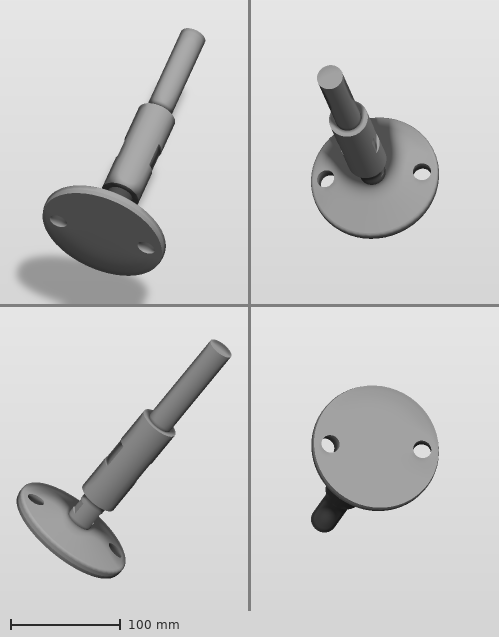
import cadquery as cq
import math

total_length = 237.0
sole_y = -total_length / 2
rod_end_y = total_length / 2

foot_radius = 118.0 / 2
sole_radius = 58.0
lower_rim_y = sole_y + 3.5
shoulder_y = sole_y + 9.5
cone_top_y = sole_y + 17.3
shoulder_fillet = 2.8

hole_diameter = 16.5
hole_offset = 42.7
hole_cutter_length = 47.5

rod_diameter = 24.0
rod_radius = rod_diameter / 2
sleeve_diameter = 36.0
sleeve_length = 95.3
sleeve_start_y = sole_y + 46.7

rod_flat_width = 19.0
rod_flat_length = 12.8
rod_flat_start_y = sole_y + 24.0
sleeve_flat_width = 30.3
sleeve_flat_length = 25.0
sleeve_flat_start_y = sleeve_start_y + (sleeve_length - sleeve_flat_length) / 2


def cylinder_along_y(diameter, start_y, length):
    """Cylinder on the rod axis, from start_y toward +Y."""
    return cq.Workplane("XZ", origin=(0, start_y, 0)).circle(diameter / 2).extrude(-length)


def cut_wrench_flats(body, diameter, width, start_y, length):
    """Cut two flats facing -X and +X, leaving the given width across them."""
    depth = (diameter - width) / 2
    for side in (-1, 1):
        center = (side * (width + depth) / 2, start_y + length / 2, 0)
        body = body.cut(cq.Workplane("XY", origin=center).box(depth, length, diameter))
    return body


def make_foot_plate():
    """Revolved disc with a tapered lower rim, a rounded shoulder and a conical back."""
    disc = (
        cq.Workplane("XY")
        .moveTo(0, sole_y)
        .lineTo(sole_radius, sole_y)
        .lineTo(foot_radius, lower_rim_y)
        .lineTo(foot_radius, shoulder_y)
        .lineTo(rod_radius, cone_top_y)
        .lineTo(0, cone_top_y)
        .close()
        .revolve(360, (0, 0, 0), (0, 1, 0))
    )
    return disc.edges(cq.selectors.RadiusNthSelector(-1)).edges(">Y").fillet(shoulder_fillet)


def drill_mounting_holes(body):
    """Drill two holes square to the conical back, one on each side of the rod."""
    tilt = math.atan2(cone_top_y - shoulder_y, foot_radius - rod_radius)
    for side in (-1, 1):
        direction = cq.Vector(side * math.sin(tilt), math.cos(tilt), 0)
        sole_point = cq.Vector(side * hole_offset, sole_y, 0)
        start = sole_point - direction * (hole_cutter_length / 2)
        body = body.cut(
            cq.Workplane(cq.Solid.makeCylinder(hole_diameter / 2, hole_cutter_length, start, direction))
        )
    return body


def make_foot_with_rod():
    """Foot plate and its rod, with wrench flats just behind the plate."""
    rod = cylinder_along_y(rod_diameter, cone_top_y, rod_end_y - cone_top_y)
    rod = cut_wrench_flats(rod, rod_diameter, rod_flat_width, rod_flat_start_y, rod_flat_length)
    return drill_mounting_holes(make_foot_plate()).union(rod)


def make_sleeve():
    """Sleeve around the rod, with wrench flats halfway along it."""
    sleeve = cylinder_along_y(sleeve_diameter, sleeve_start_y, sleeve_length)
    sleeve = cut_wrench_flats(
        sleeve, sleeve_diameter, sleeve_flat_width, sleeve_flat_start_y, sleeve_flat_length
    )
    return sleeve.cut(cylinder_along_y(rod_diameter, sleeve_start_y, sleeve_length))


foot_with_rod = make_foot_with_rod()
sleeve = make_sleeve()
result = cq.Compound.makeCompound([foot_with_rod.val(), sleeve.val()])